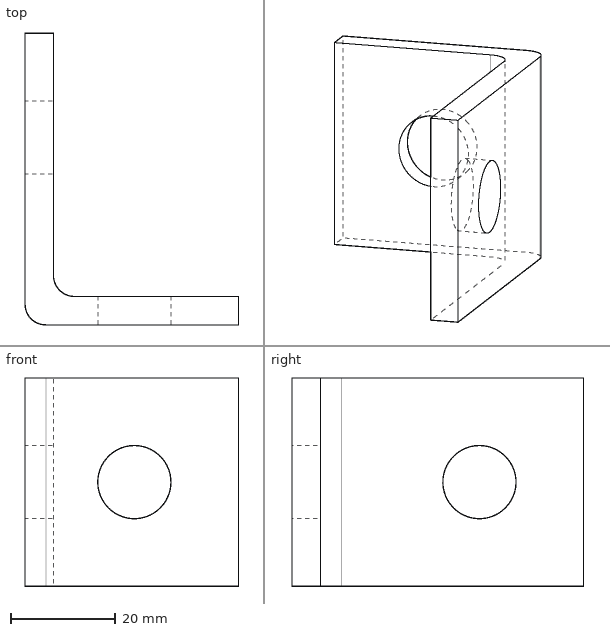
import cadquery as cq

short_leg_length = 41.0
long_leg_length = 56.0
height = 40.0
thickness = 5.5

corner_radius = 4.0

hole_diameter = 14.0
hole_end_distance = 20.0
hole_height = height / 2


def make_angle():
    """L-shaped plate with its outer corner on the Z axis, rounded inside and outside."""
    long_leg = cq.Workplane("XY").box(thickness, long_leg_length, height, centered=False)
    short_leg = cq.Workplane("XY").box(short_leg_length, thickness, height, centered=False)
    angle = long_leg.union(short_leg)
    for corner in (0, thickness):
        corner_edge = cq.selectors.NearestToPointSelector((corner, corner, height / 2))
        angle = angle.edges(corner_edge).fillet(corner_radius)
    return angle


def make_hole(start, direction):
    """Cylinder that cuts a bolt hole through one leg."""
    cylinder = cq.Solid.makeCylinder(
        hole_diameter / 2, thickness, cq.Vector(*start), cq.Vector(*direction)
    )
    return cq.Workplane(cylinder)


short_leg_hole = make_hole((short_leg_length - hole_end_distance, 0, hole_height), (0, 1, 0))
long_leg_hole = make_hole((0, long_leg_length - hole_end_distance, hole_height), (1, 0, 0))

result = make_angle().cut(short_leg_hole).cut(long_leg_hole)